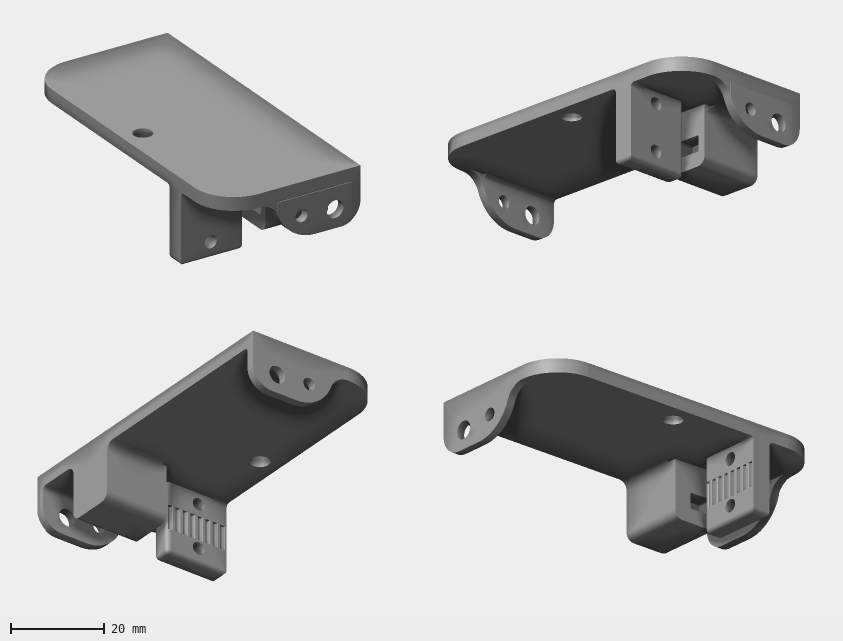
import cadquery as cq
import math

plate_length = 76.85
plate_depth = 35.9
plate_thickness = 3.3
plate_corner_radius = 10.0
plate_hole_diameter = 4.55
plate_hole_setback = 5.0

ear_thickness = 2.0
ear_bottom = -13.25
ear_back_radius = 5.0
ear_lobe_radius = 10.0
ear_blend_radius = 5.0
ear_lobe_setback = 11.55
ear_fillet = 1.0
ear_fillet_length = 21.1
large_hole_diameter = 4.2
large_hole_setback = 6.55
large_hole_z = -8.7
small_hole_diameter = 3.1
small_hole_setback = 15.1
small_hole_z = -8.0

pad_thickness = 0.15
pad_start_setback = 2.3
pad_end_setback = 21.1

leg_width = 4.6
leg_depth = 16.0
leg_bottom = -21.0
leg_center_x = 59.2
leg_edge_fillet = 1.1
leg_root_fillet = 0.9
leg_root_length = 3.55
leg_hole_diameter = 3.1
leg_hole_setback = 7.55
leg_hole_z = -11.6
leg_hole_spacing = 11.0

groove_count = 8
groove_pitch = 2.0
first_groove_y = 1.1
groove_width = 1.1
groove_mouth_radius = 0.15
groove_depth = 0.8
groove_top = -9.0
groove_height = 6.0

block_width = 12.0
block_depth = 16.0
block_bottom = -17.2
block_center_x = 58.0
block_edge_fillet = 2.0
block_root_fillet = 2.0
pocket_width = 5.9
pocket_height = 3.8
pocket_depth = 4.0
pocket_corner_radius = 0.5
pocket_center_x = 59.2
pocket_center_z = -11.85

DIAGONAL = math.sqrt(0.5)
plate_bottom = -plate_thickness
block_front = plate_depth - block_depth


def box(x_range, y_range, z_range):
    """Axis-aligned box spanning the given (low, high) pairs."""
    sizes = [high - low for low, high in (x_range, y_range, z_range)]
    corner = (x_range[0], y_range[0], z_range[0])
    return cq.Workplane("XY").box(*sizes, centered=False).translate(corner)


def rod_along_x(x_range, y, z, diameter):
    """Cylinder along X between the two X positions."""
    low, high = x_range
    return cq.Workplane("YZ", origin=(low, y, z)).circle(diameter / 2).extrude(high - low)


def make_plate():
    plate = box((0, plate_length), (0, plate_depth), (plate_bottom, 0))
    plate = plate.edges("|Z and <Y").fillet(plate_corner_radius)
    hole = cq.Workplane("XY", origin=(plate_length / 2, plate_hole_setback, plate_bottom))
    return plate.cut(hole.circle(plate_hole_diameter / 2).extrude(plate_thickness))


def ear_profile(x):
    """Closed ear outline on the YZ plane at X, with an S-shaped front edge of two tangent arcs."""
    lobe_y = plate_depth - ear_lobe_setback
    lobe_z = ear_bottom + ear_lobe_radius
    blend_z = plate_bottom - ear_blend_radius
    center_distance = ear_lobe_radius + ear_blend_radius
    tilt = math.asin((lobe_z - blend_z) / center_distance)
    blend_y = lobe_y - center_distance * math.cos(tilt)

    def on_lobe(angle):
        return (lobe_y - ear_lobe_radius * math.cos(angle), lobe_z - ear_lobe_radius * math.sin(angle))

    def on_blend(angle):
        return (blend_y + ear_blend_radius * math.cos(angle), blend_z + ear_blend_radius * math.sin(angle))

    quarter = math.pi / 2
    back_corner = ear_back_radius * (1 - DIAGONAL)
    return (
        cq.Workplane("YZ", origin=(x, 0, 0))
        .moveTo(plate_depth, plate_bottom)
        .lineTo(plate_depth, ear_bottom + ear_back_radius)
        .threePointArc(
            (plate_depth - back_corner, ear_bottom + back_corner),
            (plate_depth - ear_back_radius, ear_bottom),
        )
        .lineTo(lobe_y, ear_bottom)
        .threePointArc(on_lobe((tilt + quarter) / 2), on_lobe(tilt))
        .threePointArc(on_blend((tilt + quarter) / 2), on_blend(quarter))
        .close()
    )


def root_fillet(x, side, radius, y_range):
    """Concave fillet bar under the plate beside a wall at X; side is the direction away from the wall."""
    inset = radius * (1 - DIAGONAL)
    low, high = y_range
    return (
        cq.Workplane("XZ", origin=(0, high, 0))
        .moveTo(x, plate_bottom)
        .lineTo(x + side * radius, plate_bottom)
        .threePointArc((x + side * inset, plate_bottom - inset), (x, plate_bottom - radius))
        .close()
        .extrude(high - low)
    )


def end_trim(top_range, low_range, height):
    """Trapezoid below the plate, spanning one Y range at its top and another at its lower side."""
    low_z = plate_bottom - height
    return (
        cq.Workplane("YZ")
        .polyline([
            (top_range[0], plate_bottom),
            (top_range[1], plate_bottom),
            (low_range[1], low_z),
            (low_range[0], low_z),
        ])
        .close()
        .extrude(plate_length)
    )


def make_ears():
    right_inner = plate_length - ear_thickness
    ears = ear_profile(0).extrude(ear_thickness)
    ears = ears.union(ear_profile(right_inner).extrude(ear_thickness))
    pad_zone = box(
        (plate_length, plate_length + pad_thickness),
        (plate_depth - pad_end_setback, plate_depth - pad_start_setback),
        (ear_bottom, plate_bottom),
    )
    ears = ears.union(ear_profile(plate_length).extrude(pad_thickness).intersect(pad_zone))
    fillet_range = (plate_depth - ear_fillet_length, plate_depth)
    ears = ears.union(root_fillet(ear_thickness, 1, ear_fillet, fillet_range))
    return ears.union(root_fillet(right_inner, -1, ear_fillet, fillet_range))


def cut_ear_holes(body):
    holes = (
        (large_hole_setback, large_hole_z, large_hole_diameter),
        (small_hole_setback, small_hole_z, small_hole_diameter),
    )
    ear_spans = ((0, ear_thickness), (plate_length - ear_thickness, plate_length + pad_thickness))
    for setback, z, diameter in holes:
        for span in ear_spans:
            body = body.cut(rod_along_x(span, plate_depth - setback, z, diameter))
    return body


def make_leg():
    left = leg_center_x - leg_width / 2
    right = leg_center_x + leg_width / 2
    leg = box((left, right), (0, leg_depth), (leg_bottom, plate_bottom))
    leg = leg.edges("(|Z and >Y) or <Z").fillet(leg_edge_fillet)
    for offset in (-leg_hole_spacing / 2, leg_hole_spacing / 2):
        leg = leg.cut(rod_along_x((left, right), leg_hole_setback, leg_hole_z + offset, leg_hole_diameter))

    tip_radius = groove_width / 2
    mouth_half_width = tip_radius + groove_mouth_radius
    mouth_mid_x = groove_mouth_radius * (1 - DIAGONAL)
    mouth_mid_y = mouth_half_width - groove_mouth_radius * DIAGONAL
    for index in range(groove_count):
        groove = (
            cq.Workplane("XY", origin=(left, first_groove_y + index * groove_pitch, groove_top))
            .moveTo(0, -mouth_half_width)
            .threePointArc((mouth_mid_x, -mouth_mid_y), (groove_mouth_radius, -tip_radius))
            .lineTo(groove_depth - tip_radius, -tip_radius)
            .threePointArc((groove_depth, 0), (groove_depth - tip_radius, tip_radius))
            .lineTo(groove_mouth_radius, tip_radius)
            .threePointArc((mouth_mid_x, mouth_mid_y), (0, mouth_half_width))
            .close()
            .extrude(-groove_height)
        )
        leg = leg.cut(groove)

    slope_end = leg_root_length + leg_root_fillet
    trim = end_trim((0, leg_root_length), (0, slope_end), leg_root_fillet)
    for wall, side in ((left, -1), (right, 1)):
        leg = leg.union(root_fillet(wall, side, leg_root_fillet, (0, slope_end)).intersect(trim))
    return leg


def make_block():
    left = block_center_x - block_width / 2
    right = block_center_x + block_width / 2
    block = box((left, right), (block_front, plate_depth), (block_bottom, plate_bottom))
    block = block.edges("|Y and <Z").fillet(block_edge_fillet)
    pocket = (
        cq.Workplane("XZ", origin=(pocket_center_x, block_front, pocket_center_z))
        .rect(pocket_width, pocket_height)
        .extrude(-pocket_depth)
        .edges("|Y")
        .fillet(pocket_corner_radius)
    )
    block = block.cut(pocket)

    full_range = (block_front, plate_depth)
    trim = end_trim((block_front + block_root_fillet, plate_depth), full_range, block_root_fillet)
    for wall, side in ((left, -1), (right, 1)):
        fillet = root_fillet(wall, side, block_root_fillet, full_range)
        block = block.union(fillet.intersect(trim))
    return block


body = make_plate().union(make_ears()).union(make_leg()).union(make_block())
result = cut_ear_holes(body)